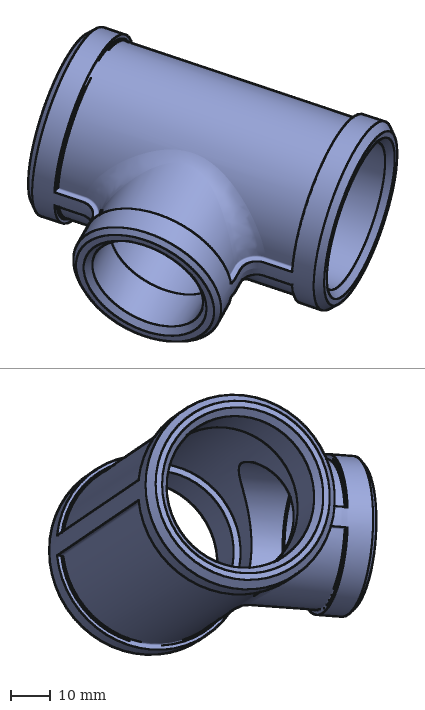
import cadquery as cq

RUN_LENGTH = 81.0
BRANCH_REACH = 42.5

RUN_COLLAR_RADIUS = 50.0 / 2
BRANCH_COLLAR_RADIUS = 40.5 / 2
COLLAR_LENGTH = 8.0
RUN_COLLAR_CHAMFER = 2.0
BRANCH_COLLAR_CHAMFER = 1.35

RUN_BODY_RADIUS = 47.0 / 2
BRANCH_BODY_RADIUS = 38.0 / 2
BODY_FILLET = 6.0

RIB_HEIGHT = RUN_COLLAR_RADIUS - RUN_BODY_RADIUS
RIB_WIDTH = 5.2
RIB_TAPER_LENGTH = 1.75
ROOT_FILLET = 0.4

RUN_BORE_RADIUS = 38.95 / 2
RUN_BORE_DEPTH = 15.0
RUN_CHAMBER_RADIUS = 42.6 / 2
BRANCH_BORE_RADIUS = 30.29 / 2
BRANCH_BORE_DEPTH = 13.0
BRANCH_CHAMBER_RADIUS = 33.6 / 2

RUN_END = RUN_LENGTH / 2
RUN_COLLAR_START = RUN_END - COLLAR_LENGTH
BRANCH_COLLAR_START = BRANCH_REACH - COLLAR_LENGTH

END_CLEARANCE = 1.0
MATCH_TOLERANCE = 1e-3


def run_cylinder(radius, length):
    """Cylinder along X, centred on the origin."""
    return cq.Workplane("YZ").circle(radius).extrude(length / 2, both=True)


def branch_cylinder(radius, start, end):
    """Cylinder along -Y between two distances from the run axis."""
    return cq.Workplane("XZ", origin=(0, -start, 0)).circle(radius).extrude(end - start)


def tee_skin(offset):
    """Blended tee between the collars, grown outward by the given offset."""
    run = run_cylinder(RUN_BODY_RADIUS + offset, 2 * RUN_COLLAR_START)
    branch = branch_cylinder(BRANCH_BODY_RADIUS + offset, 0, BRANCH_COLLAR_START)
    tee = run.union(branch)
    junction = cq.selectors.BoxSelector(
        (-RUN_COLLAR_START + END_CLEARANCE, -BRANCH_COLLAR_START + END_CLEARANCE, -RUN_COLLAR_RADIUS),
        (RUN_COLLAR_START - END_CLEARANCE, 0, RUN_COLLAR_RADIUS),
        boundingbox=True,
    )
    return tee.edges(junction).fillet(BODY_FILLET - offset)


def rib():
    """Raised band around the tee in the plane of both axes, easing down to the branch collar."""
    band = cq.Workplane("XY").box(RUN_LENGTH, 2 * BRANCH_REACH, RIB_WIDTH)
    rib_top_radius = BRANCH_BODY_RADIUS + RIB_HEIGHT
    taper = (
        cq.Workplane("XY")
        .moveTo(rib_top_radius, -(BRANCH_COLLAR_START - RIB_TAPER_LENGTH))
        .lineTo(rib_top_radius, -BRANCH_COLLAR_START)
        .lineTo(BRANCH_COLLAR_RADIUS, -BRANCH_COLLAR_START)
        .close()
        .revolve(360, (0, 0, 0), (0, 1, 0))
    )
    return tee_skin(RIB_HEIGHT).intersect(band).cut(taper)


def run_collar():
    """Chamfered collar on the +X end of the run."""
    start_plane = cq.Workplane("YZ", origin=(RUN_COLLAR_START, 0, 0))
    collar = start_plane.circle(RUN_COLLAR_RADIUS).extrude(COLLAR_LENGTH)
    return collar.faces(">X").chamfer(RUN_COLLAR_CHAMFER)


def branch_collar():
    """Chamfered collar on the end of the branch."""
    collar = branch_cylinder(BRANCH_COLLAR_RADIUS, BRANCH_COLLAR_START, BRANCH_REACH)
    return collar.faces("<Y").chamfer(BRANCH_COLLAR_CHAMFER)


def matches(value, target):
    """True when two positions agree within the tolerance."""
    return abs(value - target) < MATCH_TOLERANCE


def foot_edges(solid, skin):
    """Concave edges where the ribs and collars rise out of the body skin."""
    found = []
    for edge in solid.edges().vals():
        box = edge.BoundingBox()
        middle = edge.positionAt(0.5)
        on_rib_side = box.zlen < MATCH_TOLERANCE and matches(abs(middle.z), RIB_WIDTH / 2)
        on_run_collar = box.xlen < MATCH_TOLERANCE and matches(abs(middle.x), RUN_COLLAR_START)
        on_branch_collar = box.ylen < MATCH_TOLERANCE and matches(middle.y, -BRANCH_COLLAR_START)
        touches_skin = cq.Vertex.makeVertex(*middle.toTuple()).distance(skin) < MATCH_TOLERANCE
        if touches_skin and (on_rib_side or on_run_collar or on_branch_collar):
            found.append(edge)
    return found


def socket_cutter(bore_radius, chamber_radius, bore_depth, reach):
    """Cutter along +X from the centre to a mouth: chamber, narrower bore, 45 degree countersink."""
    countersink = chamber_radius - bore_radius
    return (
        cq.Workplane("XY")
        .moveTo(0, 0)
        .lineTo(0, chamber_radius)
        .lineTo(reach - bore_depth, chamber_radius)
        .lineTo(reach - bore_depth, bore_radius)
        .lineTo(reach - countersink, bore_radius)
        .lineTo(reach, chamber_radius)
        .lineTo(reach, 0)
        .close()
        .revolve(360, (0, 0, 0), (1, 0, 0))
    )


skin = tee_skin(0)
outside = skin.union(branch_collar()).union(run_collar()).union(run_collar().mirror("YZ")).union(rib())
feet = foot_edges(outside, skin.val())
outside = outside.newObject(feet).fillet(ROOT_FILLET)

run_socket = socket_cutter(RUN_BORE_RADIUS, RUN_CHAMBER_RADIUS, RUN_BORE_DEPTH, RUN_END)
run_passage = run_socket.union(run_socket.mirror("YZ"))
branch_passage = socket_cutter(BRANCH_BORE_RADIUS, BRANCH_CHAMBER_RADIUS, BRANCH_BORE_DEPTH, BRANCH_REACH)
branch_passage = branch_passage.rotate((0, 0, 0), (0, 0, 1), -90)

result = outside.cut(run_passage).cut(branch_passage)